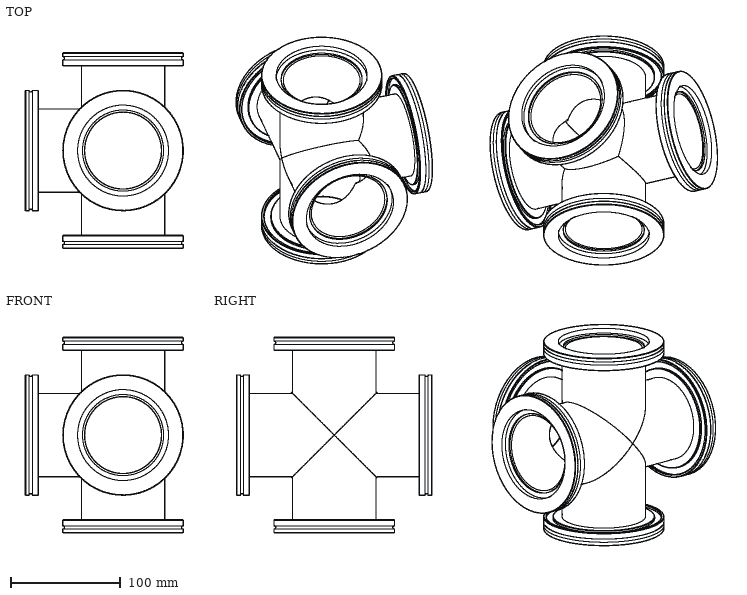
import cadquery as cq


flange_face_distance = 89.2

tube_outer_radius = 76.2 / 2
tube_bore_radius = 70.0 / 2

flange_radius = 110.0 / 2
flange_thickness = 12.0
edge_chamfer = 0.5
recess_radius = 83.0 / 2
recess_depth = 4.5
lip_bore_radius = 74.0 / 2
lip_thickness = 1.5
socket_radius = 76.4 / 2
clamp_groove_inner_radius = 93.0 / 2
clamp_groove_outer_radius = 105.0 / 2
clamp_groove_depth = 2.0
rim_groove_centre_depth = 5.0
rim_groove_radius = 1.5

tube_end_distance = flange_face_distance - recess_depth - lip_thickness

port_directions = [
    cq.Vector(-1, 0, 0),
    cq.Vector(0, -1, 0),
    cq.Vector(0, 1, 0),
    cq.Vector(0, 0, -1),
    cq.Vector(0, 0, 1),
]


def perpendicular_ports(direction):
    return [port for port in port_directions if port.dot(direction) == 0]


def axial_plane(axis, side):
    """Plane through the cross centre with local X along side and local Y along axis."""
    return cq.Plane(origin=(0, 0, 0), xDir=side, normal=side.cross(axis))


def make_tube(axis):
    """Tube from the cross centre to its flange, mitred at 45 degrees against its neighbours."""
    tube = (
        cq.Workplane(cq.Plane(origin=(0, 0, 0), normal=axis))
        .circle(tube_outer_radius)
        .circle(tube_bore_radius)
        .extrude(tube_end_distance)
    )
    reach = tube_end_distance
    for neighbour in perpendicular_ports(axis):
        neighbour_side = (
            cq.Workplane(axial_plane(axis, neighbour))
            .polyline([(-reach, -reach), (reach, reach), (reach, -reach)])
            .close()
            .extrude(reach, both=True)
        )
        tube = tube.cut(neighbour_side)
    return tube


def make_flange(axis):
    """Flange ring, revolved from its half section (radius, distance along the port axis)."""
    face = flange_face_distance
    back = face - flange_thickness
    recess_floor = face - recess_depth
    clamp_groove_floor = back + clamp_groove_depth
    rim_groove_centre = face - rim_groove_centre_depth
    rim_groove_front = rim_groove_centre + rim_groove_radius
    rim_groove_back = rim_groove_centre - rim_groove_radius
    section = (
        cq.Workplane(axial_plane(axis, perpendicular_ports(axis)[0]))
        .moveTo(recess_radius, face)
        .lineTo(flange_radius - edge_chamfer, face)
        .lineTo(flange_radius, face - edge_chamfer)
        .lineTo(flange_radius, rim_groove_front)
        .threePointArc(
            (flange_radius - rim_groove_radius, rim_groove_centre),
            (flange_radius, rim_groove_back),
        )
        .lineTo(flange_radius, back + edge_chamfer)
        .lineTo(flange_radius - edge_chamfer, back)
        .lineTo(clamp_groove_outer_radius + edge_chamfer, back)
        .lineTo(clamp_groove_outer_radius, back + edge_chamfer)
        .lineTo(clamp_groove_outer_radius, clamp_groove_floor)
        .lineTo(clamp_groove_inner_radius, clamp_groove_floor)
        .lineTo(clamp_groove_inner_radius, back + edge_chamfer)
        .lineTo(clamp_groove_inner_radius - edge_chamfer, back)
        .lineTo(socket_radius, back)
        .lineTo(socket_radius, tube_end_distance)
        .lineTo(lip_bore_radius, tube_end_distance)
        .lineTo(lip_bore_radius, recess_floor)
        .lineTo(recess_radius, recess_floor)
        .close()
    )
    return section.revolve(360, (0, 0), (0, 1))


tubes = [make_tube(direction) for direction in port_directions]
flanges = [make_flange(direction) for direction in port_directions]

result = cq.Compound.makeCompound([body.val() for body in tubes + flanges])